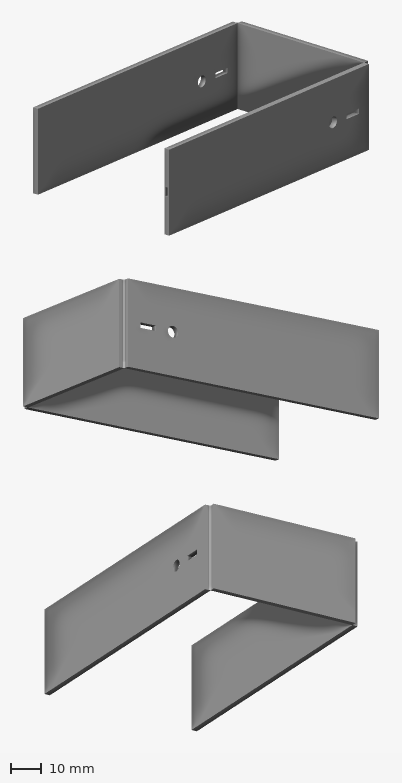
import cadquery as cq

width = 58.0
length = 102.0
height = 30.0
thickness = 2.0

front_y = -length / 2
back_y = length / 2
right_x = width / 2
side_length = length - thickness
back_width = width - 2 * thickness
corner_leg = 0.5

hole_diameter = 4.0
hole_from_back = 20.0
slot_length = 6.1
slot_height = 1.8
slot_from_back = 10.1

pocket_width = 1.0
pocket_height = 3.3
pocket_depth = 2.0
pocket_inset = 0.4


def side_panel(side):
    """Upright side panel; side is -1 for left and +1 for right."""
    x = side * (width - thickness) / 2
    return cq.Workplane("XY").box(thickness, side_length, height).translate((x, -thickness / 2, 0))


def back_panel():
    """Back panel set between the planes of the side panels' inner faces."""
    panel = cq.Workplane("XY").box(back_width, thickness, height)
    return panel.translate((0, back_y - thickness / 2, 0))


def corner_strip(side):
    """Full-height triangular strip in the outer notch between a side panel and the back panel."""
    corner_x = side * back_width / 2
    corner_y = back_y - thickness
    outline = [
        (corner_x, corner_y),
        (corner_x + side * corner_leg, corner_y),
        (corner_x, corner_y + corner_leg),
    ]
    return cq.Workplane("XY", origin=(0, 0, -height / 2)).polyline(outline).close().extrude(height)


def side_openings():
    """Round hole and rectangular slot running across both side panels."""
    plane = cq.Workplane("YZ", origin=(-width / 2, 0, 0))
    hole = plane.center(back_y - hole_from_back, 0).circle(hole_diameter / 2).extrude(width)
    slot = plane.center(back_y - slot_from_back, 0).rect(slot_length, slot_height).extrude(width)
    return hole.union(slot)


def front_pocket():
    """Rectangular pocket sunk into the front end of the right panel."""
    x = right_x - thickness + pocket_inset + pocket_width / 2
    pocket = cq.Workplane("XY").box(pocket_width, pocket_depth, pocket_height)
    return pocket.translate((x, front_y + pocket_depth / 2, 0))


result = back_panel()
for side in (-1, 1):
    result = result.union(corner_strip(side)).union(side_panel(side))
result = result.cut(side_openings()).cut(front_pocket())